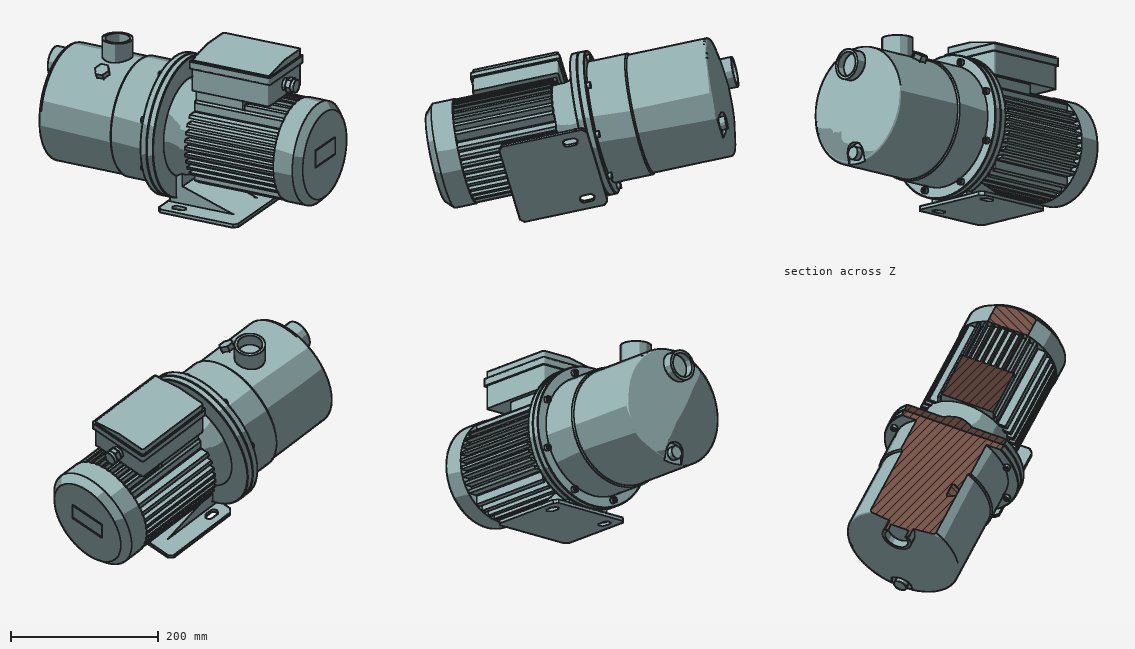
import cadquery as cq
import math


overall_length = 418.0

casing_radius = 164.0 / 2
collar_radius = 168.0 / 2
dome_tip_x = 8.8
dome_edge_x = 19.0
knuckle_radius = 4.0
collar_x = 132.5
collar_taper = 2.0

flange_radius = 198.0 / 2
casing_flange_x = 185.5
flange_joint_x = 195.5
motor_flange_end_x = 205.5
flange_chamfer = 1.0

bolt_count = 8
bolt_circle_radius = 90.3
bolt_head_diameter = 8.5
bolt_head_height = 5.0
bolt_socket_width = 4.0
bolt_socket_depth = 2.5

port_diameter = 42.0
port_bore_diameter = 34.0
suction_z = 54.8
suction_bore_depth = 11.3
delivery_x = 96.5
delivery_top_z = 107.5
delivery_bore_depth = 17.5

drain_z = -67.5
drain_boss_diameter = 18.0
drain_boss_x = 11.5
drain_recess_width = 30.0
drain_recess_floor_x = 20.5

plug_width_over_corners = 21.0
plug_tilt = 30.0
plug_seat_radius = 75.2
plug_top_radius = 89.5

neck_radius = 125.0 / 2
cone_start_radius = 69.5
cone_sag = 1.0
cone_end_x = 225.5
fins_start_x = 239.5
fins_end_x = 376.5
fin_tip_radius = 71.5
fin_pitch = 10.5
fin_thickness = 3.8
fins_each_side_of_axis = 4

pedestal_length = 72.0
pedestal_width = 77.0

fan_cover_radius = 145.0 / 2
cover_rim_x = 406.5
cover_end_x = 416.7
label_width = 54.8
label_height = 24.5
label_z = 3.5

box_start_x = 235.8
box_length = 119.5
box_end_x = box_start_x + box_length
box_width = 90.0
box_bottom_z = 74.5
box_corner_radius = 3.0
lid_band_bottom_z = 107.0
lid_band_top_z = 117.0
lid_band_overhang = 2.5
lid_low_edge_z = 119.0
lid_top_z = 127.0

gland_z = 91.5
gland_collar_diameter = 17.0
gland_nut_over_corners = 21.0
gland_cap_diameter = 18.0
gland_nut_x = 360.5
gland_cap_x = 368.0
gland_end_x = 373.0

base_start_x = 193.0
base_end_x = 315.5
base_width = 125.0
base_center_y = -2.5
base_bottom_z = -105.0
base_thickness = 5.0
base_corner_chamfer = 5.5
web_width = 67.0
web_shoulder_x = 215.3
web_shoulder_z = -74.5
web_tip_x = 294.3
slot_x = 218.5
slot_spacing = 93.0
slot_length = 20.5
slot_width = 11.3


def rod_x(start_x, end_x, diameter, y=0.0, z=0.0):
    """Round bar along X."""
    bar = cq.Workplane("YZ", origin=(start_x, y, z)).circle(diameter / 2)
    return bar.extrude(end_x - start_x)


def block(x_range, y_range, z_range):
    """Box between the given limits on each axis."""
    corner = (x_range[0], y_range[0], z_range[0])
    size = [high - low for low, high in (x_range, y_range, z_range)]
    return cq.Workplane("XY").box(*size, centered=False).translate(corner)


def flange(start_x, end_x):
    """Flange disc with both rims chamfered."""
    disc = rod_x(start_x, end_x, 2 * flange_radius)
    return disc.edges().chamfer(flange_chamfer)


def casing_shell():
    """Domed barrel, stepping up to the collar in front of the flange."""
    dome_edge_radius = casing_radius - knuckle_radius
    knuckle_end_x = dome_edge_x + knuckle_radius
    sagitta = dome_edge_x - dome_tip_x
    sphere_radius = (dome_edge_radius ** 2 + sagitta ** 2) / (2 * sagitta)
    dome_mid_radius = dome_edge_radius / 2
    dome_mid_x = dome_tip_x + sphere_radius - math.sqrt(sphere_radius ** 2 - dome_mid_radius ** 2)
    knuckle_mid_x = knuckle_end_x - knuckle_radius * math.cos(math.pi / 4)
    knuckle_mid_radius = dome_edge_radius + knuckle_radius * math.sin(math.pi / 4)
    return (
        cq.Workplane("XY")
        .moveTo(dome_tip_x, 0)
        .threePointArc((dome_mid_x, dome_mid_radius), (dome_edge_x, dome_edge_radius))
        .threePointArc((knuckle_mid_x, knuckle_mid_radius), (knuckle_end_x, casing_radius))
        .lineTo(collar_x - collar_taper, casing_radius)
        .lineTo(collar_x, collar_radius)
        .lineTo(casing_flange_x, collar_radius)
        .lineTo(casing_flange_x, 0)
        .close()
        .revolve(360, (0, 0, 0), (1, 0, 0))
    )


def drain_recess():
    """Arched flat recess that runs out through the bottom of the dome."""
    half_width = drain_recess_width / 2
    return (
        cq.Workplane("YZ")
        .moveTo(-half_width, -casing_radius)
        .lineTo(-half_width, drain_z)
        .threePointArc((0, drain_z + half_width), (half_width, drain_z))
        .lineTo(half_width, -casing_radius)
        .close()
        .extrude(drain_recess_floor_x)
    )


def bolt_head(angle):
    """Socket head of one flange bolt."""
    y = bolt_circle_radius * math.cos(angle)
    z = bolt_circle_radius * math.sin(angle)
    head_x = casing_flange_x - bolt_head_height
    socket_diameter = bolt_socket_width / math.cos(math.pi / 6)
    socket = (
        cq.Workplane("YZ", origin=(head_x, y, z))
        .polygon(6, socket_diameter)
        .extrude(bolt_socket_depth)
    )
    return rod_x(head_x, casing_flange_x, bolt_head_diameter, y, z).cut(socket)


def make_filler_plug():
    """Hexagonal plug, leaning from the vertical toward -Y, corners along X."""
    lean = math.radians(plug_tilt)
    direction = cq.Vector(0, -math.sin(lean), math.cos(lean))
    seat = direction * plug_seat_radius + cq.Vector(delivery_x, 0, 0)
    plane = cq.Plane(origin=seat.toTuple(), xDir=(1, 0, 0), normal=direction.toTuple())
    height = plug_top_radius - plug_seat_radius
    return cq.Workplane(plane).polygon(6, plug_width_over_corners).extrude(height)


def make_casing():
    """Casing with its ports, drain, flange and bolt heads."""
    casing = casing_shell().cut(drain_recess())
    casing = casing.union(rod_x(drain_boss_x, dome_edge_x + knuckle_radius, drain_boss_diameter, z=drain_z))
    casing = casing.union(flange(casing_flange_x, flange_joint_x))

    casing = casing.union(rod_x(0, dome_edge_x, port_diameter, z=suction_z))
    casing = casing.cut(rod_x(0, suction_bore_depth, port_bore_diameter, z=suction_z))

    mouth = cq.Workplane("XY", origin=(delivery_x, 0, delivery_top_z))
    casing = casing.union(mouth.circle(port_diameter / 2).extrude(-delivery_top_z))
    casing = casing.cut(mouth.circle(port_bore_diameter / 2).extrude(-delivery_bore_depth))

    for index in range(bolt_count):
        casing = casing.union(bolt_head((index + 0.5) * 2 * math.pi / bolt_count))
    return casing.cut(make_filler_plug())


def lantern():
    """Concave neck and core that carry the fins."""
    mid_x = (motor_flange_end_x + cone_end_x) / 2
    mid_radius = (cone_start_radius + neck_radius) / 2 - cone_sag
    return (
        cq.Workplane("XY")
        .moveTo(motor_flange_end_x, 0)
        .lineTo(motor_flange_end_x, cone_start_radius)
        .threePointArc((mid_x, mid_radius), (cone_end_x, neck_radius))
        .lineTo(fins_end_x, neck_radius)
        .lineTo(fins_end_x, 0)
        .close()
        .revolve(360, (0, 0, 0), (1, 0, 0))
    )


def cooling_fins():
    """Parallel fins in Y and in Z, trimmed to a common tip radius."""
    x_range = (fins_start_x, fins_end_x)
    full_span = (-fin_tip_radius, fin_tip_radius)
    fins = rod_x(fins_start_x, fins_end_x, 2 * neck_radius)
    for index in range(-fins_each_side_of_axis, fins_each_side_of_axis + 1):
        middle = index * fin_pitch
        thickness = (middle - fin_thickness / 2, middle + fin_thickness / 2)
        fins = fins.union(block(x_range, full_span, thickness))
        fins = fins.union(block(x_range, thickness, full_span))
    return fins.intersect(rod_x(fins_start_x, fins_end_x, 2 * fin_tip_radius))


def make_motor():
    """Motor frame: flange, neck, fins and pedestal in one casting."""
    pedestal = block(
        (fins_start_x, fins_start_x + pedestal_length),
        (-pedestal_width / 2, pedestal_width / 2),
        (0, box_bottom_z),
    )
    motor = flange(flange_joint_x, motor_flange_end_x).union(lantern())
    return motor.union(cooling_fins()).union(pedestal)


def make_fan_cover():
    """Cap behind the fins, with a raised label on its end face."""
    cover = rod_x(fins_end_x, cover_end_x, 2 * fan_cover_radius)
    cover = cover.faces(">X").chamfer(cover_end_x - cover_rim_x)
    label = block(
        (cover_end_x, overall_length),
        (-label_width / 2, label_width / 2),
        (label_z - label_height / 2, label_z + label_height / 2),
    )
    return cover.union(label)


def make_terminal_box():
    """Box body below the lid."""
    body = block(
        (box_start_x, box_end_x),
        (-box_width / 2, box_width / 2),
        (box_bottom_z, lid_band_bottom_z),
    )
    return body.edges("|Z").fillet(box_corner_radius)


def make_lid():
    """Overhanging band below a top that slopes down toward -Y."""
    half_width = box_width / 2
    band = block(
        (box_start_x - lid_band_overhang, box_end_x + lid_band_overhang),
        (-half_width - lid_band_overhang, half_width + lid_band_overhang),
        (lid_band_bottom_z, lid_band_top_z),
    )
    top_outline = [
        (-half_width, lid_band_top_z),
        (half_width, lid_band_top_z),
        (half_width, lid_top_z),
        (0, lid_top_z),
        (-half_width, lid_low_edge_z),
    ]
    top = cq.Workplane("YZ", origin=(box_start_x, 0, 0)).polyline(top_outline).close().extrude(box_length)
    band = band.edges("|Z").fillet(box_corner_radius)
    return band.union(top.edges("|Z").fillet(box_corner_radius))


def make_cable_gland():
    """Collar, hexagonal nut and cap, on the +X wall of the box."""
    collar = rod_x(box_end_x, gland_nut_x, gland_collar_diameter, z=gland_z)
    nut = (
        cq.Workplane("YZ", origin=(gland_nut_x, 0, gland_z))
        .polygon(6, gland_nut_over_corners)
        .extrude(gland_cap_x - gland_nut_x)
    )
    cap = rod_x(gland_cap_x, gland_end_x, gland_cap_diameter, z=gland_z)
    return collar.union(nut).union(cap)


def make_foot():
    """Slotted base plate with a sloping web shaped to the motor flange and neck."""
    base_top_z = base_bottom_z + base_thickness
    base = block(
        (base_start_x, base_end_x),
        (base_center_y - base_width / 2, base_center_y + base_width / 2),
        (base_bottom_z, base_top_z),
    )
    base = base.edges("|Z").chamfer(base_corner_chamfer)
    slots = (
        cq.Workplane("XY", origin=(slot_x, base_center_y, base_bottom_z))
        .rarray(4, slot_spacing, 1, 2)
        .slot2D(slot_length, slot_width)
        .extrude(base_thickness)
    )
    web_outline = [
        (flange_joint_x, base_top_z),
        (flange_joint_x, -neck_radius),
        (motor_flange_end_x, -neck_radius / 2),
        (web_shoulder_x, -neck_radius / 2),
        (web_shoulder_x, web_shoulder_z),
        (web_tip_x, base_top_z),
    ]
    web = cq.Workplane("XZ").polyline(web_outline).close().extrude(web_width / 2, both=True)
    web = web.cut(rod_x(flange_joint_x, motor_flange_end_x, 2 * flange_radius)).cut(lantern())
    return base.cut(slots).union(web)


casing = make_casing()
filler_plug = make_filler_plug()
motor = make_motor()
fan_cover = make_fan_cover()
terminal_box = make_terminal_box()
lid = make_lid()
cable_gland = make_cable_gland()
foot = make_foot()

bodies = [casing, filler_plug, motor, fan_cover, terminal_box, lid, cable_gland, foot]
result = cq.Compound.makeCompound([body.val() for body in bodies])